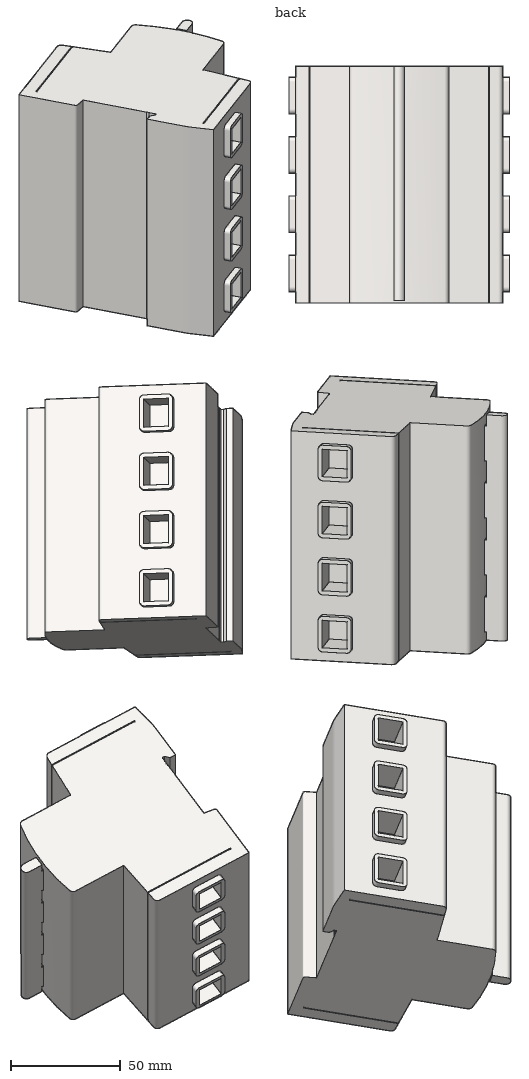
import cadquery as cq

module_count = 4
module_pitch = 27.0
stack_height = module_count * module_pitch

body_width = 94.5
shoulder_corner_y = 50.1
shoulder_inner_y = 52.1
shoulder_radius = 2.2

tower_width = 45.1
tower_corner_y = 79.7
tower_top_y = 82.5
tower_radius = 2.2

recess_depth = 5.9
recess_left_x = -18.1
recess_right_x = 17.4
left_foot_x = -19.0
left_foot_radius = 1.1
right_foot_x = 15.4
hook_low_y = 3.0
hook_high_y = 4.8
ramp_start_x = 35.0
ramp_end_y = 1.7
ramp_radius = 21.6
floor_groove_start_x = 12.7
floor_groove_end_x = 14.1
floor_groove_depth = 0.1

slot_x = 40.8
slot_width = 0.4

sleeve_length = 3.0
sleeve_y = 22.8
sleeve_size_y = 15.4
sleeve_size_z = 16.8
sleeve_wall = 1.9
sleeve_radius = 2.2
terminal_depth = 15.1

toggle_width = 5.0
toggle_tip_y = 92.7
toggle_base_y = 83.4
toggle_bottom_z = 1.3
toggle_tab_length = 16.5
toggle_tab_root_y = 81.0

side_x = body_width / 2
tower_x = tower_width / 2
sleeve_end_x = side_x + sleeve_length


def body():
    """Stack of module bodies as one extruded outline."""
    block = (
        cq.Workplane("XY")
        .moveTo(-side_x, 0)
        .lineTo(left_foot_x, 0)
        .lineTo(recess_left_x, recess_depth)
        .lineTo(recess_right_x, recess_depth)
        .lineTo(recess_right_x, hook_high_y)
        .lineTo(right_foot_x, hook_low_y)
        .lineTo(right_foot_x, 0)
        .lineTo(ramp_start_x, 0)
        .lineTo(side_x, ramp_end_y)
        .lineTo(side_x, shoulder_corner_y)
        .lineTo(tower_x, shoulder_inner_y)
        .lineTo(tower_x, tower_corner_y)
        .threePointArc((0, tower_top_y), (-tower_x, tower_corner_y))
        .lineTo(-tower_x, shoulder_inner_y)
        .lineTo(-side_x, shoulder_corner_y)
        .close()
        .extrude(stack_height)
    )
    rounded_edges = [
        (-side_x, shoulder_corner_y, shoulder_radius),
        (side_x, shoulder_corner_y, shoulder_radius),
        (-tower_x, tower_corner_y, tower_radius),
        (tower_x, tower_corner_y, tower_radius),
        (left_foot_x, 0, left_foot_radius),
        (ramp_start_x, 0, ramp_radius),
    ]
    for x, y, radius in rounded_edges:
        edge = cq.selectors.NearestToPointSelector((x, y, stack_height / 2))
        block = block.edges("|Z").edges(edge).fillet(radius)
    return block


def floor_groove():
    """Shallow groove along the rail recess floor."""
    width = floor_groove_end_x - floor_groove_start_x
    return (
        cq.Workplane("XY")
        .box(width, floor_groove_depth, stack_height, centered=False)
        .translate((floor_groove_start_x, recess_depth, 0))
    )


def cover_slot(side):
    """Thin slot through the whole stack, open at the shoulder."""
    length = shoulder_inner_y - recess_depth
    return (
        cq.Workplane("XY")
        .box(slot_width, length, stack_height, centered=(True, False, False))
        .translate((side * slot_x, recess_depth, 0))
    )


def terminal_prism(side, center_z, size_y, size_z, depth):
    """Prism reaching inward by depth from the outer end of one sleeve."""
    return (
        cq.Workplane("XY")
        .box(depth, size_y, size_z)
        .translate((side * (sleeve_end_x - depth / 2), sleeve_y, center_z))
    )


def sleeve(side, center_z):
    """Rounded sleeve that bridges the cover slot and closes behind the opening."""
    depth = terminal_depth + sleeve_wall
    prism = terminal_prism(side, center_z, sleeve_size_y, sleeve_size_z, depth)
    return prism.edges("|X").fillet(sleeve_radius)


def terminal_opening(side, center_z):
    """Blind rectangular opening inside one sleeve."""
    opening_y = sleeve_size_y - 2 * sleeve_wall
    opening_z = sleeve_size_z - 2 * sleeve_wall
    return terminal_prism(side, center_z, opening_y, opening_z, terminal_depth)


def toggle_bar():
    """Bar with a rounded tip that spans all the modules."""
    half = toggle_width / 2
    return (
        cq.Workplane("XY", origin=(0, 0, toggle_bottom_z))
        .moveTo(-half, toggle_base_y)
        .lineTo(half, toggle_base_y)
        .lineTo(half, toggle_tip_y - half)
        .threePointArc((0, toggle_tip_y), (-half, toggle_tip_y - half))
        .close()
        .extrude(stack_height - toggle_bottom_z)
    )


def toggle_tab(center_z):
    """Tab that links the toggle bar to one module."""
    length = toggle_base_y - toggle_tab_root_y
    return (
        cq.Workplane("XY")
        .box(toggle_width, length, toggle_tab_length)
        .translate((0, toggle_tab_root_y + length / 2, center_z))
    )


result = body().cut(floor_groove()).union(toggle_bar())
for side in (-1, 1):
    result = result.cut(cover_slot(side))
for module in range(module_count):
    center_z = (module + 0.5) * module_pitch
    result = result.union(toggle_tab(center_z))
    for side in (-1, 1):
        result = result.union(sleeve(side, center_z))
        result = result.cut(terminal_opening(side, center_z))